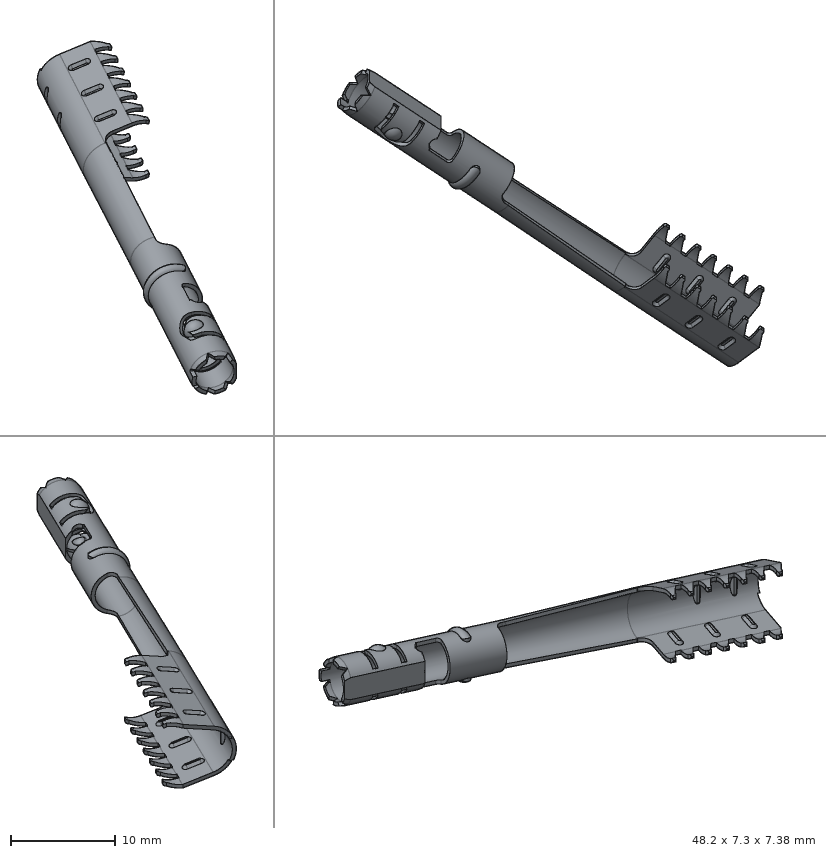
import cadquery as cq
import math

WALL = 0.41

LENGTH = 48.15
CRIMP_START = 0.25
WING_END = 13.25
TROUGH_END = 14.4
BARREL_START = 28.97
RIM = 47.2

TROUGH_RADIUS = 2.9
TROUGH_Y = 0.45
WING_ANGLE = math.radians(14.5)
CURL_START_Y = 2.8
CURL_RADIUS = 2.8
CURL_END_Y = 4.52
WING_TIP_Y = 4.6
TROUGH_TOP_Y = -0.15
WING_FILLET = 1.05

TOOTH_COUNT = 7
FIRST_TOOTH_FRONT = 1.55
TOOTH_PITCH = (WING_END - FIRST_TOOTH_FRONT) / (TOOTH_COUNT - 1)
TOOTH_WIDTH = 1.35
TOOTH_ROOT_Y = 2.85
TOOTH_SHOULDER_Y = 4.25
TOOTH_CROWN = 0.55

WING_BAR_LENGTH = 2.25
FLOOR_BAR_LENGTH = 2.5
BAR_WIDTH = 0.8
BAR_DEPTH = 0.3
BAR_TAPER = 45
FLOOR_BARS = 2
WING_BARS = 3
FIRST_BAR_X = 2.7
LAST_BAR_X = 10.85
BAR_PITCH = (LAST_BAR_X - FIRST_BAR_X) / (WING_BARS - 1)
WING_BAR_Y = 0.9

START_TAB_WIDTH = 2.5
END_TAB_WIDTH = 1.1

BARREL_RADIUS = 2.4
CLOSED_START = 30.2
CLOSED_END = 36.45
CLOSED_FILLET = 0.8
OPEN_START = 39.05
OPEN_TOP_Y = 2.1
GAP_FLOOR_Y = 0.265
GAP_FILLET = 0.4
RELIEF_BOTTOM_Y = 0.45
RELIEF_TOP_Y = 1.5
RELIEF_DEPTH = 0.4

BEAD_X = 33.95
BEAD_WIDTH = 1.05
BEAD_HEIGHT = 0.3
BEAD_TOP_Y = 1.5

TONGUE_X = 42.8
SLOT_OUTER = 1.9
SLOT_INNER = 1.3
SLOT_TOP_Y = 1.93
SLOT_DROP = 0.15
DIMPLE_Y = -0.55
DIMPLE_SPHERE_RADIUS = 1.1
DIMPLE_HEIGHT = 0.315

CROWN_END = 47.9
CROWN_LEAN = 0.1
CROWN_COUNT = 7
NOTCH_WIDTH = 0.85
TAB_NOTCH_ANGLE = 19

FAR = 9.65


def block(x0, x1, y0, y1, z0, z1):
    return cq.Workplane("XY").box(x1 - x0, y1 - y0, z1 - z0, centered=False).translate((x0, y0, z0))


def through_z(outline):
    """Extrude a closed XY outline both ways along Z."""
    return outline.extrude(FAR, both=True)


def on_circle(center_y, radius, angle):
    """YZ point at an angle measured from -Y towards +Z."""
    return (center_y - radius * math.cos(angle), radius * math.sin(angle))


def mirrored(point):
    return (point[0], -point[1])


def trough_ring(x, center_y, radius, top_y):
    """Open ring section at station x, with its ends at about the height top_y."""
    end = math.acos((center_y - top_y) / radius)
    inner_radius = radius - WALL
    outer_end = on_circle(center_y, radius, end)
    inner_end = on_circle(center_y, inner_radius, end)
    return (
        cq.Workplane("YZ", origin=(x, 0, 0))
        .moveTo(*mirrored(outer_end))
        .threePointArc((center_y - radius, 0), outer_end)
        .lineTo(*inner_end)
        .threePointArc((center_y - inner_radius, 0), mirrored(inner_end))
        .close()
    )


def wing_point(y, inset=0.0):
    """Point of the straight wing face at height y, moved inward by inset."""
    bend = on_circle(TROUGH_Y, TROUGH_RADIUS, math.pi / 2 - WING_ANGLE)
    z = bend[1] + (y - bend[0]) * math.tan(WING_ANGLE)
    return (y + inset * math.sin(WING_ANGLE), z - inset * math.cos(WING_ANGLE))


def curl_point(y, radius):
    """Point at height y on a curl arc of the given radius."""
    outer = wing_point(CURL_START_Y)
    center_y = outer[0] + CURL_RADIUS * math.sin(WING_ANGLE)
    center_z = outer[1] - CURL_RADIUS * math.cos(WING_ANGLE)
    return (y, center_z + math.sqrt(radius**2 - (y - center_y) ** 2))


def crimp_section():
    """Trough with two wings as one closed YZ outline."""
    bend = math.pi / 2 - WING_ANGLE
    inner_radius = TROUGH_RADIUS - WALL
    inner_curl = CURL_RADIUS - WALL
    outer_bend = on_circle(TROUGH_Y, TROUGH_RADIUS, bend)
    inner_bend = on_circle(TROUGH_Y, inner_radius, bend)
    outer_curl_start = wing_point(CURL_START_Y)
    inner_curl_start = wing_point(CURL_START_Y, WALL)
    curl_mid_y = (CURL_START_Y + CURL_END_Y) / 2
    outer_mid = curl_point(curl_mid_y, CURL_RADIUS)
    inner_mid = curl_point(curl_mid_y, inner_curl)
    outer_tip = curl_point(CURL_END_Y, CURL_RADIUS)
    inner_tip = curl_point(CURL_END_Y, inner_curl)
    tip = (WING_TIP_Y, (outer_tip[1] + inner_tip[1]) / 2)
    return (
        cq.Workplane("YZ", origin=(CRIMP_START, 0, 0))
        .moveTo(*mirrored(outer_bend))
        .threePointArc((TROUGH_Y - TROUGH_RADIUS, 0), outer_bend)
        .lineTo(*outer_curl_start)
        .threePointArc(outer_mid, outer_tip)
        .lineTo(*tip)
        .lineTo(*inner_tip)
        .threePointArc(inner_mid, inner_curl_start)
        .lineTo(*inner_bend)
        .threePointArc((TROUGH_Y - inner_radius, 0), mirrored(inner_bend))
        .lineTo(*mirrored(inner_curl_start))
        .threePointArc(mirrored(inner_mid), mirrored(inner_tip))
        .lineTo(*mirrored(tip))
        .lineTo(*mirrored(outer_tip))
        .threePointArc(mirrored(outer_mid), mirrored(outer_curl_start))
        .close()
    )


def crimp_outline():
    """XY outline of the crimp: toothed upper edge, step down to the trough."""
    outline = (
        cq.Workplane("XY")
        .moveTo(CRIMP_START, -FAR)
        .lineTo(CRIMP_START, TOOTH_ROOT_Y)
    )
    for i in range(TOOTH_COUNT):
        front = FIRST_TOOTH_FRONT + i * TOOTH_PITCH
        root = max(front - TOOTH_WIDTH, CRIMP_START)
        if root > CRIMP_START:
            outline = outline.lineTo(root, TOOTH_ROOT_Y)
        outline = (
            outline.lineTo(front - TOOTH_CROWN, TOOTH_SHOULDER_Y)
            .threePointArc((front - TOOTH_CROWN / 2, WING_TIP_Y), (front, TOOTH_SHOULDER_Y))
        )
        if i < TOOTH_COUNT - 1:
            outline = outline.lineTo(front, TOOTH_ROOT_Y)
    return (
        outline.lineTo(WING_END, TROUGH_TOP_Y + WING_FILLET)
        .radiusArc((WING_END + WING_FILLET, TROUGH_TOP_Y), -WING_FILLET)
        .lineTo(TROUGH_END, TROUGH_TOP_Y)
        .lineTo(TROUGH_END, -FAR)
        .close()
    )


def press_bar(body, plane, length):
    """Press one bar into the body; the plane lies on the outer face, normal inward."""

    def bar(start):
        return (
            cq.Workplane(plane)
            .workplane(offset=start)
            .slot2D(length, BAR_WIDTH, 90)
            .extrude(BAR_DEPTH, taper=BAR_TAPER)
        )

    return body.union(bar(WALL)).cut(bar(0))


def crimp():
    """Toothed trough with pressed bars in its floor and wings, plus its carrier tab."""
    body = crimp_section().extrude(TROUGH_END - CRIMP_START)
    body = body.intersect(through_z(crimp_outline()))
    floor_y = TROUGH_Y - TROUGH_RADIUS
    for i in range(FLOOR_BARS):
        x = FIRST_BAR_X + i * BAR_PITCH
        body = press_bar(body, cq.Plane((x, floor_y, 0), (1, 0, 0), (0, 1, 0)), FLOOR_BAR_LENGTH)
    wing_y, wing_z = wing_point(WING_BAR_Y)
    for i in range(WING_BARS):
        x = FIRST_BAR_X + i * BAR_PITCH
        for side in (1, -1):
            inward = (0, math.sin(WING_ANGLE), -side * math.cos(WING_ANGLE))
            plane = cq.Plane((x, wing_y, side * wing_z), (1, 0, 0), inward)
            body = press_bar(body, plane, WING_BAR_LENGTH)
    tab = trough_ring(0, TROUGH_Y, TROUGH_RADIUS, TROUGH_TOP_Y).extrude(CRIMP_START)
    half_tab = START_TAB_WIDTH / 2
    return body.union(tab.intersect(block(0, CRIMP_START, -FAR, 0, -half_tab, half_tab)))


def transition():
    """Tapering half shell from the trough to the barrel."""
    start = trough_ring(TROUGH_END, TROUGH_Y, TROUGH_RADIUS, TROUGH_TOP_Y).val()
    end = trough_ring(BARREL_START, 0, BARREL_RADIUS, 0).val()
    return cq.Workplane(cq.Solid.makeLoft([start, end], True))


def tube(x0, x1):
    """Full round stretch of the barrel."""
    return (
        cq.Workplane("YZ", origin=(x0, 0, 0))
        .circle(BARREL_RADIUS)
        .circle(BARREL_RADIUS - WALL)
        .extrude(x1 - x0)
    )


def barrel_opening():
    """Material removed from the barrel, leaving the two sleeves."""
    before = (
        cq.Workplane("XY")
        .moveTo(BARREL_START, 0)
        .lineTo(CLOSED_START - CLOSED_FILLET, 0)
        .radiusArc((CLOSED_START, CLOSED_FILLET), -CLOSED_FILLET)
        .lineTo(CLOSED_START, FAR)
        .lineTo(BARREL_START, FAR)
        .close()
    )
    relief_mid_y = (RELIEF_BOTTOM_Y + RELIEF_TOP_Y) / 2
    after = (
        cq.Workplane("XY")
        .moveTo(CLOSED_END, FAR)
        .lineTo(CLOSED_END, GAP_FLOOR_Y + GAP_FILLET)
        .radiusArc((CLOSED_END + GAP_FILLET, GAP_FLOOR_Y), -GAP_FILLET)
        .lineTo(OPEN_START, GAP_FLOOR_Y)
        .lineTo(OPEN_START, RELIEF_BOTTOM_Y)
        .threePointArc((OPEN_START + RELIEF_DEPTH, relief_mid_y), (OPEN_START, RELIEF_TOP_Y))
        .lineTo(OPEN_START, OPEN_TOP_Y)
        .lineTo(LENGTH, OPEN_TOP_Y)
        .lineTo(LENGTH, FAR)
        .close()
    )
    return through_z(before).union(through_z(after))


def bead():
    """Rounded ridge around the -Y side, with round ends at its top."""
    ring = (
        cq.Workplane("XY")
        .moveTo(BEAD_X - BEAD_WIDTH / 2, BARREL_RADIUS - WALL / 2)
        .lineTo(BEAD_X - BEAD_WIDTH / 2, BARREL_RADIUS)
        .threePointArc((BEAD_X, BARREL_RADIUS + BEAD_HEIGHT), (BEAD_X + BEAD_WIDTH / 2, BARREL_RADIUS))
        .lineTo(BEAD_X + BEAD_WIDTH / 2, BARREL_RADIUS - WALL / 2)
        .close()
        .revolve(360, (0, 0, 0), (1, 0, 0))
    )
    span = BEAD_TOP_Y + FAR
    limit = cq.Workplane("XY").center(BEAD_X, BEAD_TOP_Y - span / 2).slot2D(span, BEAD_WIDTH, 90)
    return ring.intersect(through_z(limit))


def u_wedge(half_width):
    """U-shaped wedge on the +Z side whose walls all point at the barrel axis."""
    top_slope = math.tan(math.asin(SLOT_TOP_Y / BARREL_RADIUS))
    bend_slope = math.tan(SLOT_DROP / BARREL_RADIUS)
    bottom_slope = math.tan((half_width + SLOT_DROP) / BARREL_RADIUS)
    round_slope = bottom_slope - bend_slope

    def outline(z):
        bottom = []
        for angle in (math.pi / 4, math.pi / 2, 3 * math.pi / 4, math.pi):
            slope = bend_slope + round_slope * math.sin(angle)
            bottom.append((-half_width * math.cos(angle), -slope * z))
        return (
            cq.Workplane("XY", origin=(TONGUE_X, 0, z))
            .moveTo(-half_width, top_slope * z)
            .lineTo(-half_width, -bend_slope * z)
            .spline(bottom, tangents=[(0, -1), (0, 1)], includeCurrent=True)
            .lineTo(half_width, top_slope * z)
            .close()
            .val()
        )

    near_axis = outline(BARREL_RADIUS / 4)
    past_wall = outline(BARREL_RADIUS + WALL)
    return cq.Workplane(cq.Solid.makeLoft([near_axis, past_wall], True))


def tongue_slot():
    """U slots through both side walls."""
    slot = u_wedge(SLOT_OUTER).cut(u_wedge(SLOT_INNER))
    return slot.union(slot.mirror("XY"))


def dimple_dome(inset):
    """Sphere bulging out through the tongue on the +Z side, shrunk by inset."""
    tilt = math.asin(DIMPLE_Y / BARREL_RADIUS)
    center = BARREL_RADIUS + DIMPLE_HEIGHT - DIMPLE_SPHERE_RADIUS
    return (
        cq.Workplane("XY")
        .sphere(DIMPLE_SPHERE_RADIUS - inset)
        .translate((TONGUE_X, center * math.sin(tilt), center * math.cos(tilt)))
    )


def add_dimples(body):
    """Hollow dome on each tongue, of the same wall thickness as the barrel."""
    core = cq.Workplane("YZ").circle(BARREL_RADIUS - WALL).extrude(LENGTH)
    dome = dimple_dome(0).cut(core)
    hollow = dimple_dome(WALL)
    for cap, pocket in ((dome, hollow), (dome.mirror("XY"), hollow.mirror("XY"))):
        body = body.union(cap).cut(pocket)
    return body


def crown():
    """Inward-leaning teeth with V notches between, plus the straight tab at -Y."""
    inner_radius = BARREL_RADIUS - WALL
    ring = (
        cq.Workplane("XY")
        .polyline(
            [
                (RIM, inner_radius),
                (RIM, BARREL_RADIUS),
                (CROWN_END, BARREL_RADIUS - CROWN_LEAN),
                (CROWN_END, inner_radius - CROWN_LEAN),
            ]
        )
        .close()
        .revolve(360, (0, 0, 0), (1, 0, 0))
    )
    notch = (
        cq.Workplane("XZ")
        .polyline([(RIM, 0), (CROWN_END, NOTCH_WIDTH / 2), (CROWN_END, -NOTCH_WIDTH / 2)])
        .close()
        .extrude(FAR)
    )
    pitch = 360 / CROWN_COUNT
    notch_angles = [TAB_NOTCH_ANGLE] + [(i + 0.5) * pitch for i in range(1, CROWN_COUNT // 2)]
    for angle in notch_angles:
        for side in (1, -1):
            ring = ring.cut(notch.rotate((0, 0, 0), (1, 0, 0), side * angle))
    tab_space = BARREL_RADIUS * math.sin(math.radians(TAB_NOTCH_ANGLE))
    ring = ring.cut(block(RIM, LENGTH, -FAR, 0, -tab_space, tab_space))
    half_tab = END_TAB_WIDTH / 2
    tab = tube(RIM, LENGTH).intersect(block(RIM, LENGTH, -FAR, 0, -half_tab, half_tab))
    return ring.union(tab)


def barrel():
    """Two sleeves with bead, sprung tongues and crown."""
    body = tube(BARREL_START, RIM).union(bead()).cut(tongue_slot())
    return add_dimples(body).union(crown()).cut(barrel_opening())


result = crimp().union(transition()).union(barrel())